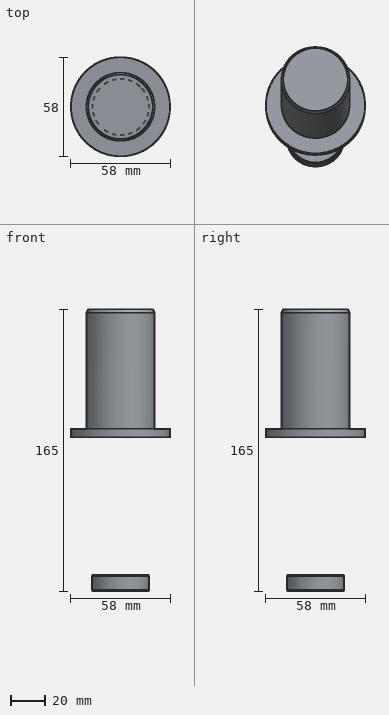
import cadquery as cq

total_height = 165.0
flange_diameter = 58.0
flange_thickness = 5.0
shaft_diameter = 40.0
pin_height = 74.9
pin_chamfer_height = 2.1
pin_chamfer_width = 1.2
disc_diameter = 33.5
disc_thickness = 9.9
disc_chamfer_height = 1.0
disc_chamfer_width = 0.58

pin_base = total_height - pin_height
shaft_length = pin_height - flange_thickness


def make_flanged_pin():
    """Solid shaft with a chamfered top edge, standing on a round flange."""
    flange = (
        cq.Workplane("XY", origin=(0, 0, pin_base))
        .circle(flange_diameter / 2)
        .extrude(flange_thickness)
    )
    shaft = (
        cq.Workplane("XY", origin=(0, 0, pin_base + flange_thickness))
        .circle(shaft_diameter / 2)
        .extrude(shaft_length)
        .faces(">Z")
        .chamfer(pin_chamfer_height, pin_chamfer_width)
    )
    return flange.union(shaft)


def make_disc():
    """Separate round disc with both rims chamfered."""
    return (
        cq.Workplane("XY")
        .circle(disc_diameter / 2)
        .extrude(disc_thickness)
        .faces("<Z or >Z")
        .chamfer(disc_chamfer_height, disc_chamfer_width)
    )


flanged_pin = make_flanged_pin()
disc = make_disc()

result = cq.Compound.makeCompound([flanged_pin.val(), disc.val()])